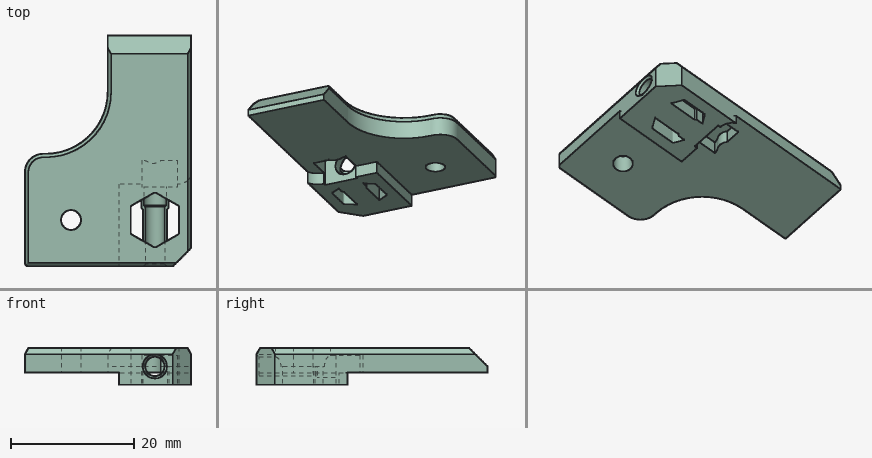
import cadquery as cq
import math

width = 27.0
length = 37.5
height = 6.0

pad_depth = 2.0
pad_left = 15.25
pad_back = 13.4
pad_tip = 14.8
pad_curve_radius = 2.45

neck_left = 13.42
step_back = 18.3
step_corner_radius = 3.0
neck_radius = 10.0
front_corner_radius = 0.6
corner_cut = 3.0

bevel_height = 1.0
bevel_lean = 30
bevel_width = bevel_height * math.tan(math.radians(bevel_lean))
end_bevel = 3.0

hole_diameter = 3.2
hole_x = 7.5
feature_y = 7.55
hex_x = 21.1
hex_flats = 7.8
hex_corner_radius = 0.3
hex_sides = 6
hex_half_angle = 180 / hex_sides

bore_z = height / 2
bore_diameter = 3.1
counterbore_diameter = 3.6
counterbore_start = 9.9
countersink = 0.4
cradle_wall = 0.4

recess_front = 12.9
recess_back = 17.25
recess_left = 19.0
recess_right = 24.75
recess_wall_radius = counterbore_diameter / 2
recess_top = bore_z + recess_wall_radius
bulge_left = 20.1
bulge_right = 22.05
bulge_drop = 0.35


def plate():
    """Plate with the curved neck and bevelled top edges."""
    outline = (
        cq.Workplane("XY")
        .workplane(offset=pad_depth)
        .moveTo(front_corner_radius, 0)
        .lineTo(width, 0)
        .lineTo(width, length)
        .lineTo(neck_left, length)
        .lineTo(neck_left, step_back + neck_radius)
        .radiusArc((neck_left - neck_radius, step_back), neck_radius)
        .lineTo(step_corner_radius, step_back)
        .radiusArc((0, step_back - step_corner_radius), -step_corner_radius)
        .lineTo(0, front_corner_radius)
        .radiusArc((front_corner_radius, 0), -front_corner_radius)
        .close()
    )
    body = outline.extrude(height - pad_depth)
    return body.faces(">Z").edges("not >Y").chamfer(bevel_height, bevel_width)


def pad():
    """Thin pad below the plate, its straight back edge curving out to the right side."""
    sweep = math.acos(1 - (pad_tip - pad_back) / pad_curve_radius)
    curve_start = width - pad_curve_radius * math.sin(sweep)
    return (
        cq.Workplane("XY")
        .moveTo(pad_left, 0)
        .lineTo(width, 0)
        .lineTo(width, pad_tip)
        .radiusArc((curve_start, pad_back), pad_curve_radius)
        .lineTo(pad_left, pad_back)
        .close()
        .extrude(pad_depth)
    )


def hexagon():
    """Hexagonal prism with a corner pointing along Y and rounded upright edges."""
    corners = hex_flats / math.cos(math.radians(hex_half_angle))
    prism = cq.Workplane("XY").polygon(hex_sides, corners).extrude(height)
    prism = prism.edges("|Z").fillet(hex_corner_radius)
    return prism.rotate((0, 0, 0), (0, 0, 1), hex_half_angle).translate((hex_x, feature_y, 0))


def cradle():
    """Half-height block left standing inside the hexagon, wider round the counterbore."""
    narrow = bore_diameter / 2 + cradle_wall
    wide = counterbore_diameter / 2 + cradle_wall
    step = counterbore_start - cradle_wall
    half = [
        (0, 0),
        (narrow, 0),
        (narrow, step - (wide - narrow)),
        (wide, step),
        (wide, pad_back),
        (0, pad_back),
    ]
    side = cq.Workplane("XY").center(hex_x, 0).polyline(half).close().extrude(bore_z)
    return side.union(side.mirror("YZ", (hex_x, 0, 0)))


def bore():
    """Stepped bore with a countersunk front mouth, as a revolved solid."""
    small = bore_diameter / 2
    large = counterbore_diameter / 2
    profile = [
        (0, 0),
        (small + countersink, 0),
        (small, countersink),
        (small, counterbore_start - (large - small)),
        (large, counterbore_start),
        (large, recess_front),
        (0, recess_front),
    ]
    solid = cq.Workplane("XY").polyline(profile).close().revolve(360, (0, 0, 0), (0, 1, 0))
    return solid.translate((hex_x, 0, bore_z))


def recess():
    """Recess at the end of the bore, open downwards, with a curved back wall."""
    return (
        cq.Workplane("XY")
        .moveTo(recess_left, recess_front)
        .lineTo(recess_right, recess_front)
        .lineTo(recess_right, recess_back)
        .lineTo(bulge_right, recess_back)
        .radiusArc((bulge_left, recess_back - bulge_drop), recess_wall_radius)
        .radiusArc((recess_left, recess_back), -recess_wall_radius)
        .close()
        .extrude(recess_top)
    )


def corner_wedge():
    """Triangular prism that removes the front right corner."""
    points = [(width, 0), (width - corner_cut, 0), (width, corner_cut)]
    return cq.Workplane("XY").polyline(points).close().extrude(height)


def end_wedge():
    """Prism that bevels the top of the back end."""
    points = [(length, height), (length - end_bevel, height), (length, height - end_bevel)]
    return cq.Workplane("YZ").polyline(points).close().extrude(width)


pin_hole = cq.Workplane("XY").center(hole_x, feature_y).circle(hole_diameter / 2).extrude(height)
nut_pocket = hexagon()

result = plate().union(pad())
result = result.cut(nut_pocket).union(cradle().intersect(nut_pocket))
result = result.cut(bore()).cut(recess()).cut(pin_hole).cut(corner_wedge()).cut(end_wedge())